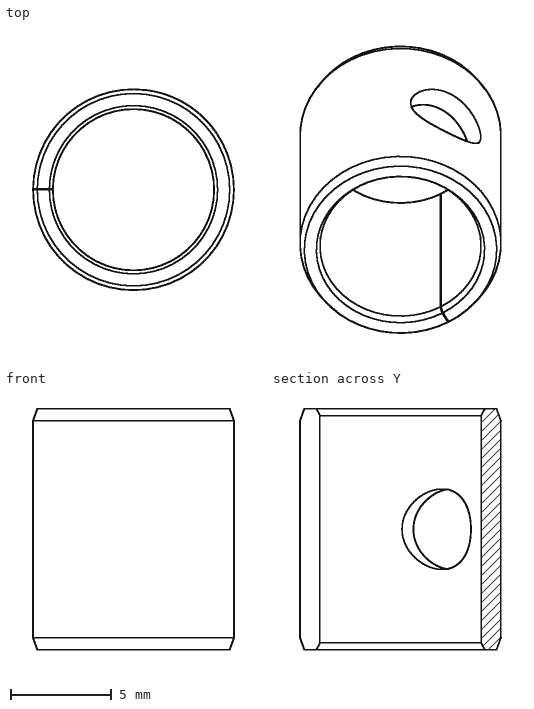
import cadquery as cq

height = 12.0
outer_diameter = 10.0
bore_diameter = 8.0

outer_bevel_length = 0.6
outer_bevel_depth = 0.22
inner_bevel_length = 0.35
inner_bevel_depth = 0.18

slit_width = 0.05
slit_offset = 0.02

hole_diameter = 4.0
hole_angle = 59.0

outer_radius = outer_diameter / 2
bore_radius = bore_diameter / 2
half_height = height / 2


def make_sleeve():
    """Revolve the wall section, bevelled inside and outside at both ends."""
    outer_shoulder = half_height - outer_bevel_length
    inner_shoulder = half_height - inner_bevel_length
    rim_outer = outer_radius - outer_bevel_depth
    rim_inner = bore_radius + inner_bevel_depth
    section = [
        (bore_radius, -inner_shoulder),
        (rim_inner, -half_height),
        (rim_outer, -half_height),
        (outer_radius, -outer_shoulder),
        (outer_radius, outer_shoulder),
        (rim_outer, half_height),
        (rim_inner, half_height),
        (bore_radius, inner_shoulder),
    ]
    return cq.Workplane("XZ").polyline(section).close().revolve(360, (0, 0), (0, 1))


def make_slit():
    """Full-height cutter from the axis out past the -X wall."""
    return (
        cq.Workplane("XY")
        .box(outer_diameter, slit_width, height, centered=(False, True, True))
        .translate((-outer_diameter, slit_offset, 0))
    )


def make_radial_hole():
    """Cylinder cutter at mid-height, from the axis out past the wall."""
    return (
        cq.Workplane("YZ")
        .circle(hole_diameter / 2)
        .extrude(outer_diameter)
        .rotate((0, 0, 0), (0, 0, 1), hole_angle)
    )


result = make_sleeve().cut(make_slit()).cut(make_radial_hole())